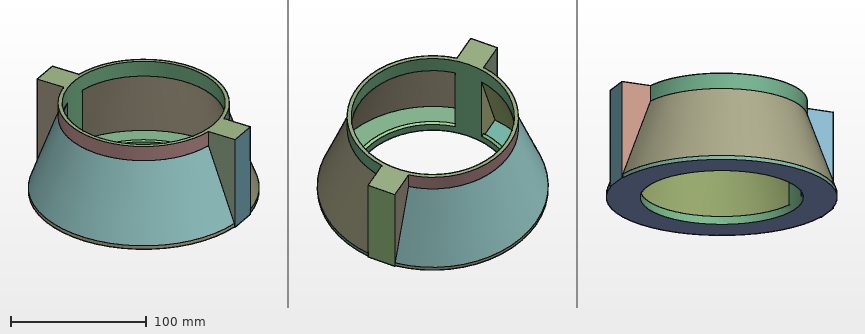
import math

import cadquery as cq

base_radius = 85.0
bore_radius = 60.0
wall = 3.0
height = 75.0
collar_height = 12.0
lip_rise = 3.0
rib_width = 22.0

collar_radius = bore_radius + wall
cone_bottom = wall
cone_top = height - collar_height

cone_angle = math.atan2(base_radius - collar_radius, cone_top - cone_bottom)
inner_base_radius = base_radius - wall / math.cos(cone_angle)
inner_cone_top = cone_top - wall * math.tan(cone_angle / 2)

lip_top = wall + lip_rise


def make_shell():
    """Hollow cone with a collar on top and a lipped floor ring around the lower opening."""
    profile = [
        (bore_radius, 0),
        (base_radius, 0),
        (base_radius, cone_bottom),
        (collar_radius, cone_top),
        (collar_radius, height),
        (bore_radius, height),
        (bore_radius, inner_cone_top),
        (inner_base_radius, wall),
        (bore_radius + wall, wall),
        (bore_radius + wall, lip_top),
        (bore_radius, lip_top),
    ]
    return cq.Workplane("XZ").polyline(profile).close().revolve(360, (0, 0, 0), (0, 1, 0))


def make_ribs():
    """Two full-height ribs along X, cut back to the bore."""
    bar = cq.Workplane("XY").box(2 * base_radius, rib_width, height, centered=(True, True, False))
    bore = cq.Workplane("XY").circle(bore_radius).extrude(height)
    return bar.cut(bore)


result = make_shell().union(make_ribs())